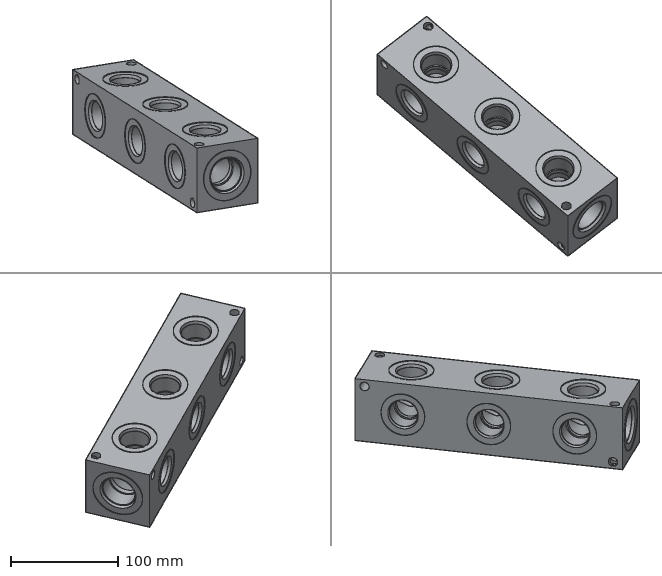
import cadquery as cq
import math

LENGTH = 257.2
SIDE = 63.5

MOUNT_DIAMETER = 8.7
MOUNT_END_OFFSET = 9.3
MOUNT_EDGE_OFFSET = 7.0

STATION_COUNT = 3
STATION_PITCH = 82.5

DRILL_POINT_ANGLE = 118.0
PORT_POINT_ANGLE = 128.0

SPOTFACE_DEPTH = 0.8

PORT_SPOTFACE_DIAMETER = 42.0
PORT_MOUTH_DIAMETER = 29.3
PORT_SEAT_DIAMETER = 27.5
PORT_SEAT_DEPTH = 3.5
PORT_THREAD_DIAMETER = 27.0
PORT_THREAD_DEPTH = 19.8
PORT_BORE_DIAMETER = 24.2
PORT_BORE_DEPTH = 24.0
TOP_DRILL_DIAMETER = 23.7
TOP_DRILL_DEPTH = 30.5

END_SPOTFACE_DIAMETER = 49.0
END_MOUTH_DIAMETER = 35.5
END_SEAT_DIAMETER = 33.5
END_SEAT_DEPTH = 3.5
END_THREAD_DIAMETER = 31.5
END_THREAD_DEPTH = 19.0
END_BORE_DIAMETER = 28.5
END_BORE_DEPTH = 24.0


def point_height(diameter, angle):
    """Axial height of a drill point of the given base diameter and included angle."""
    return diameter / 2 / math.tan(math.radians(angle / 2))


def revolved(profile):
    """Solid turned about the Z axis from (radius, height) points."""
    return cq.Workplane("XZ").polyline(profile).close().revolve(360, (0, 0, 0), (0, 1, 0))


def port_cutter(spotface, mouth, seat, seat_depth, thread, thread_depth, bore, bore_depth, angle):
    """Port tool with its mouth at the origin, cutting toward -Z."""
    return revolved([
        (0, 0),
        (spotface / 2, 0),
        (spotface / 2, -SPOTFACE_DEPTH),
        (mouth / 2, -SPOTFACE_DEPTH),
        (seat / 2, -seat_depth),
        (thread / 2, -seat_depth),
        (thread / 2, -thread_depth),
        (bore / 2, -thread_depth),
        (bore / 2, -bore_depth),
        (0, -bore_depth - point_height(bore, angle)),
    ])


def drill_cutter(diameter, depth):
    """Plain drill entering at the origin, cutting toward -Z; the depth is to its full diameter."""
    return revolved([
        (0, 0),
        (diameter / 2, 0),
        (diameter / 2, -depth),
        (0, -depth - point_height(diameter, DRILL_POINT_ANGLE)),
    ])


block = cq.Workplane("XY").box(LENGTH, SIDE, SIDE)

station_port = port_cutter(
    PORT_SPOTFACE_DIAMETER, PORT_MOUTH_DIAMETER, PORT_SEAT_DIAMETER, PORT_SEAT_DEPTH,
    PORT_THREAD_DIAMETER, PORT_THREAD_DEPTH, PORT_BORE_DIAMETER, PORT_BORE_DEPTH,
    PORT_POINT_ANGLE,
).translate((0, 0, SIDE / 2))
front_port = station_port.rotate((0, 0, 0), (1, 0, 0), 90)
top_drill = drill_cutter(TOP_DRILL_DIAMETER, TOP_DRILL_DEPTH).translate((0, 0, SIDE / 2))
for station in range(STATION_COUNT):
    x = (station - (STATION_COUNT - 1) / 2) * STATION_PITCH
    for cutter in (station_port, top_drill, front_port):
        block = block.cut(cutter.translate((x, 0, 0)))

end_port = port_cutter(
    END_SPOTFACE_DIAMETER, END_MOUTH_DIAMETER, END_SEAT_DIAMETER, END_SEAT_DEPTH,
    END_THREAD_DIAMETER, END_THREAD_DEPTH, END_BORE_DIAMETER, END_BORE_DEPTH,
    DRILL_POINT_ANGLE,
).translate((0, 0, LENGTH / 2))
for angle in (-90, 90):
    block = block.cut(end_port.rotate((0, 0, 0), (0, 1, 0), angle))

mount_x = LENGTH / 2 - MOUNT_END_OFFSET
mount_edge = SIDE / 2 - MOUNT_EDGE_OFFSET
mount_hole = cq.Workplane("XY").circle(MOUNT_DIAMETER / 2).extrude(SIDE / 2, both=True)
for x, edge in ((-mount_x, mount_edge), (mount_x, -mount_edge)):
    block = block.cut(mount_hole.translate((x, edge, 0)))
    block = block.cut(mount_hole.rotate((0, 0, 0), (1, 0, 0), 90).translate((x, 0, edge)))

result = block